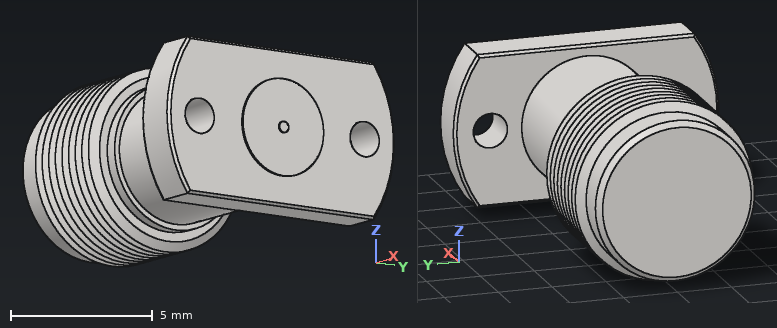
import cadquery as cq


thread_start = 1.25
thread_pitch = 0.4
thread_count = 9
thread_end = thread_start + thread_count * thread_pitch
collar_length = 0.45
collar_end = thread_end + collar_length
flange_front = 10.13
flange_thickness = 1.65
flange_back = flange_front + flange_thickness
disc_thickness = 0.07
disc_end = flange_back + disc_thickness
overall_length = 11.9

nose_diameter = 5.92
nose_chamfer = 0.2
thread_diameter = 6.6
collar_diameter = 5.25
barrel_diameter = 4.84
disc_diameter = 3.5
pin_diameter = 0.4

flange_diameter = 9.86
flange_height = 5.66
flange_chamfer = 0.1
hole_diameter = 1.26
hole_offset = 3.58


def rod(diameter, x_start, x_end):
    """Cylinder on the X axis between two stations."""
    plane = cq.Workplane("YZ", origin=(x_start, 0, 0))
    return plane.circle(diameter / 2).extrude(x_end - x_start)


def make_nose():
    """Plain nose with a chamfered front rim; it also forms the thread root."""
    return rod(nose_diameter, 0, thread_end).faces("<X").chamfer(nose_chamfer)


def make_thread():
    """Row of V-shaped ridges revolved around the axis."""
    root_radius = nose_diameter / 2
    crest_radius = thread_diameter / 2
    profile = cq.Workplane("XY").moveTo(thread_start, 0).lineTo(thread_start, root_radius)
    for ridge in range(thread_count):
        ridge_start = thread_start + ridge * thread_pitch
        profile = profile.lineTo(ridge_start + thread_pitch / 2, crest_radius)
        profile = profile.lineTo(ridge_start + thread_pitch, root_radius)
    profile = profile.lineTo(thread_end, 0).close()
    return profile.revolve(360, (0, 0, 0), (1, 0, 0))


def make_flange():
    """Flange with flats at top and bottom, chamfered rims and two mounting holes."""
    flats = cq.Workplane("XY").box(
        flange_thickness, flange_diameter, flange_height, centered=(False, True, True)
    )
    flats = flats.translate((flange_front, 0, 0))
    flange = rod(flange_diameter, flange_front, flange_back).intersect(flats)
    flange = flange.faces("<X or >X").chamfer(flange_chamfer)
    for side in (-1, 1):
        hole = rod(hole_diameter, flange_front, flange_back)
        flange = flange.cut(hole.translate((0, side * hole_offset, 0)))
    return flange


def make_contacts():
    """Shallow disc and centre pin standing on the back of the flange."""
    disc = rod(disc_diameter, flange_back, disc_end)
    pin = rod(pin_diameter, flange_back, overall_length)
    return disc.union(pin)


collar = rod(collar_diameter, thread_end, collar_end)
barrel = rod(barrel_diameter, collar_end, flange_front)

result = make_nose().union(make_thread()).union(collar).union(barrel)
result = result.union(make_flange()).union(make_contacts())